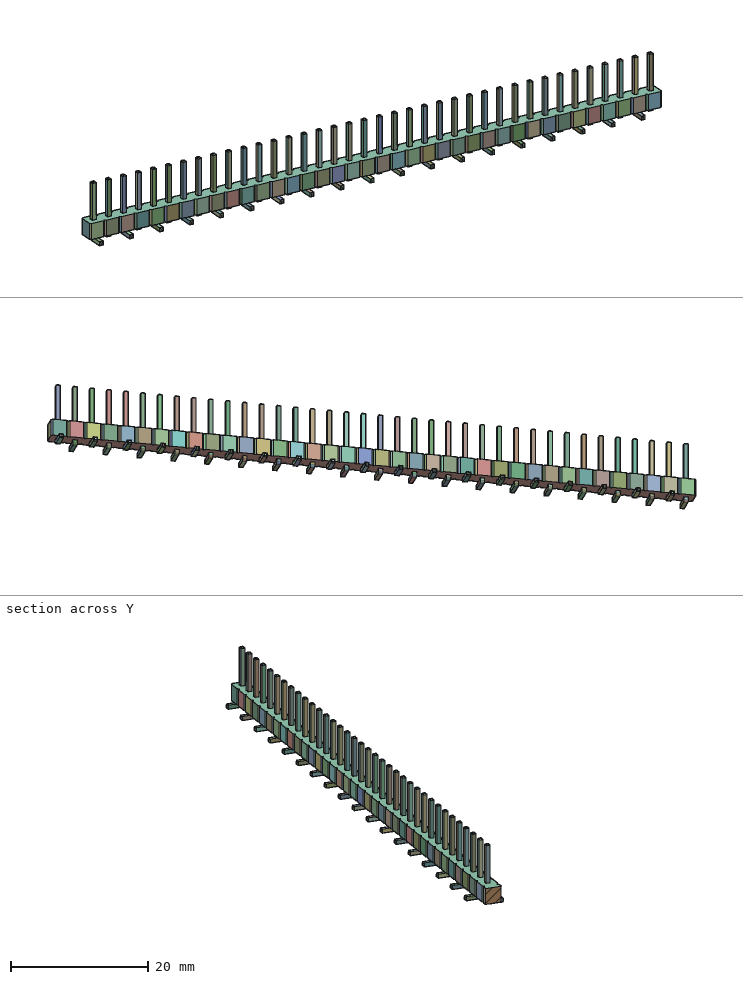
import cadquery as cq


pin_count = 38
pitch = 2.54
pin_height_above_body = 6.0
body_standoff = 0.76
lead_span = 5.0
wire_size = 0.64
bend_radius = 0.36

body_width = pitch
body_height = pitch
corner_chamfer = pitch / 10
tip_chamfer = wire_size / 4
strip_length = pin_count * pitch
overall_height = body_standoff + body_height + pin_height_above_body
lead_length = lead_span / 2 + wire_size / 2


def pin_position(index):
    """Y coordinate of a pin, counted from the -Y end of the centred strip."""
    return (index + 0.5) * pitch - strip_length / 2


def insulator():
    """Strip of equal cells, notched between neighbours by their chamfered corners."""
    face_x = body_width / 2
    notch_x = face_x - corner_chamfer
    right_side = []
    for index in range(pin_count):
        cell_start = pin_position(index) - pitch / 2
        right_side += [
            (notch_x, cell_start),
            (face_x, cell_start + corner_chamfer),
            (face_x, cell_start + pitch - corner_chamfer),
        ]
    right_side.append((notch_x, strip_length / 2))
    left_side = [(-x, y) for x, y in reversed(right_side)]
    outline = cq.Workplane("XY").workplane(offset=body_standoff).polyline(right_side + left_side).close()
    return outline.extrude(body_height)


def contact():
    """Upright pin at the origin with a flat lead at its foot pointing to +X."""
    pin = cq.Workplane("XY").rect(wire_size, wire_size).extrude(overall_height)
    lead_centre = (lead_span - lead_length) / 2
    lead = cq.Workplane("XY").center(lead_centre, 0).rect(lead_length, wire_size).extrude(wire_size)
    wire = pin.union(lead).clean()
    wire = wire.faces(">Z").edges().chamfer(tip_chamfer)
    wire = wire.faces(">X").edges().chamfer(tip_chamfer)
    return wire.faces("<Z").edges("<X").fillet(bend_radius)


right_contact = contact()
left_contact = right_contact.rotate((0, 0, 0), (0, 0, 1), 180)
contacts = []
for index in range(pin_count):
    template = right_contact if index % 2 == 0 else left_contact
    contacts.append(template.translate((0, pin_position(index), 0)).val())

result = cq.Workplane(insulator().val().fuse(*contacts))